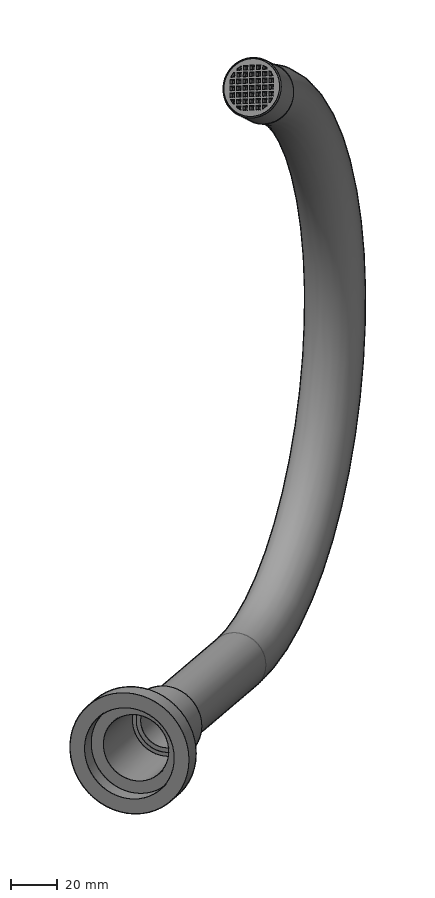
import cadquery as cq
import math

flange_radius = 27.0
flange_thickness = 9.3
flange_recess_radius = 20.5
flange_recess_depth = 8.5
sleeve_radius = 16.3
sleeve_bore_radius = 14.8
sleeve_end = 46.5
sleeve_end_wall = 1.2

tube_radius = 13.0
bore_radius = 11.0
straight_end = 137.0
bend_radius = 124.8
bend_angle = 163.7
nozzle_tilt = 25.0
nozzle_length = 18.0
tube_start = sleeve_end - sleeve_end_wall

mesh_thickness = 3.5
mesh_radius = 10.62
mesh_turn = 8.0
opening_width = 1.9
opening_pitch = 3.0
mouth_chamfer = 0.5

bend_overrun = 12.0


def cylinder_y(radius, start, end):
    return cq.Workplane("XZ", origin=(0, start, 0)).circle(radius).extrude(start - end)


def make_escutcheon():
    flange = cylinder_y(flange_radius, 0, flange_thickness)
    sleeve = cylinder_y(sleeve_radius, 0, sleeve_end)
    recess = cylinder_y(flange_recess_radius, 0, flange_recess_depth)
    sleeve_bore = cylinder_y(sleeve_bore_radius, 0, sleeve_end - sleeve_end_wall)
    tube_hole = cylinder_y(tube_radius, 0, sleeve_end)
    return flange.union(sleeve).cut(recess).cut(sleeve_bore).cut(tube_hole)


def bend_point(angle):
    turn = math.radians(angle)
    return straight_end + bend_radius * math.sin(turn), bend_radius * (1 - math.cos(turn))


nozzle_y, nozzle_z = bend_point(bend_angle)
tilt = math.radians(nozzle_tilt)
nozzle_base = cq.Plane(
    origin=(0, nozzle_y, nozzle_z), xDir=(1, 0, 0), normal=(0, -math.cos(tilt), math.sin(tilt))
)


def make_run(radius):
    """Solid rods of the given radius along the straight, the bend and the nozzle."""
    straight = cylinder_y(radius, tube_start, straight_end)
    path = (
        cq.Workplane("YZ")
        .moveTo(straight_end, 0)
        .threePointArc(bend_point(bend_angle / 2), bend_point(bend_angle + bend_overrun))
    )
    bend = cq.Workplane("XZ", origin=(0, straight_end, 0)).circle(radius).sweep(path)
    trim_size = 4 * tube_radius
    trim = cq.Workplane(nozzle_base).rect(trim_size, trim_size).extrude(trim_size)
    nozzle = cq.Workplane(nozzle_base).circle(radius).extrude(nozzle_length)
    return straight, bend.cut(trim), nozzle


def make_mesh():
    """Disc that fills the bore at the mouth, pierced by a square grid of openings."""
    back = cq.Workplane(nozzle_base).workplane(offset=nozzle_length - mesh_thickness)
    disc = back.circle(bore_radius).extrude(mesh_thickness)
    mesh_area = back.circle(mesh_radius).extrude(mesh_thickness)
    reach = math.ceil(mesh_radius / opening_pitch)
    offsets = [i * opening_pitch for i in range(-reach, reach + 1)]
    centers = [
        (x, y)
        for x in offsets
        for y in offsets
        if math.hypot(abs(x) - opening_width / 2, abs(y) - opening_width / 2) < mesh_radius
    ]
    openings = (
        back.transformed(rotate=(0, 0, mesh_turn))
        .pushPoints(centers)
        .rect(opening_width, opening_width)
        .extrude(mesh_thickness)
        .intersect(mesh_area)
    )
    return disc.cut(openings)


def make_spout():
    straight, bend, nozzle = make_run(tube_radius)
    straight_bore, bend_bore, nozzle_bore = make_run(bore_radius)
    nozzle = nozzle.faces(cq.selectors.DirectionMinMaxSelector(nozzle_base.zDir)).chamfer(mouth_chamfer)
    tip = nozzle.cut(nozzle_bore).union(make_mesh())
    return straight.cut(straight_bore).union(bend.cut(bend_bore)).union(tip)


escutcheon = make_escutcheon()
spout = make_spout()
result = cq.Compound.makeCompound([escutcheon.val(), spout.val()])